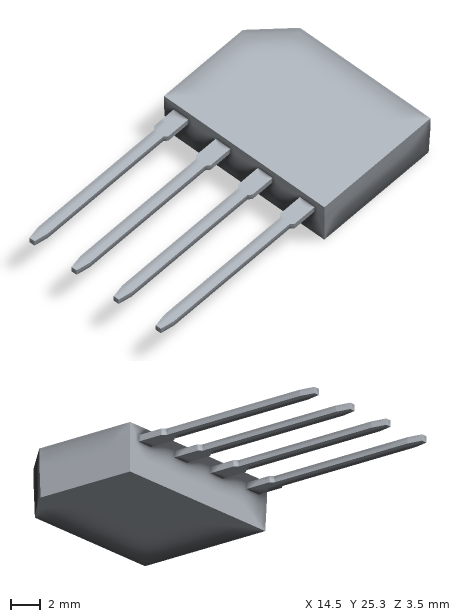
import cadquery as cq


TOTAL_LENGTH = 25.33
HOUSING_WIDTH = 14.5
HOUSING_LENGTH = 10.54
HOUSING_HEIGHT = 3.5

CORNER_CUT = 2.7
RIM_HEIGHT = 0.9
DRAFT_ANGLE = 2.0
RIM_BOTTOM = HOUSING_HEIGHT - RIM_HEIGHT

LEAD_COUNT = 4
LEAD_PITCH = 3.8
LEAD_THICKNESS = 0.45
LEAD_MID_HEIGHT = RIM_BOTTOM
LEAD_LENGTH = TOTAL_LENGTH - HOUSING_LENGTH
LEAD_EMBEDDED = 1.01
SHOULDER_WIDTH = 1.32
SHOULDER_LENGTH = 1.98
SHOULDER_TAPER = 0.25
SHANK_WIDTH = 0.85
TIP_WIDTH = 0.45
TIP_LENGTH = 1.1

MARK_WIDTH = SHOULDER_WIDTH
MARK_STROKE = 0.25
MARK_DEPTH = 0.1
MARK_FROM_FACE = 1.47
WAVE_HEIGHT = 0.1

LEAD_POSITIONS = [(i - (LEAD_COUNT - 1) / 2) * LEAD_PITCH for i in range(LEAD_COUNT)]


def make_housing_blank():
    """Bevelled block: upright rim on top of a part that tapers downward."""
    half_width = HOUSING_WIDTH / 2
    outline = [
        (-half_width, 0),
        (half_width, 0),
        (half_width, HOUSING_LENGTH),
        (-half_width + CORNER_CUT, HOUSING_LENGTH),
        (-half_width, HOUSING_LENGTH - CORNER_CUT),
    ]
    parting_plane = cq.Workplane("XY").workplane(offset=RIM_BOTTOM)
    rim = parting_plane.polyline(outline).close().extrude(RIM_HEIGHT)
    base = parting_plane.polyline(outline).close().extrude(-RIM_BOTTOM, taper=DRAFT_ANGLE)
    return rim.union(base)


def make_lead(x):
    """Flat lead with a wide shoulder, a narrow shank and a tapered tip."""
    shank_start = -SHOULDER_LENGTH - SHOULDER_TAPER
    right_side = [
        (SHOULDER_WIDTH / 2, LEAD_EMBEDDED),
        (SHOULDER_WIDTH / 2, -SHOULDER_LENGTH),
        (SHANK_WIDTH / 2, shank_start),
        (SHANK_WIDTH / 2, -LEAD_LENGTH + TIP_LENGTH),
        (TIP_WIDTH / 2, -LEAD_LENGTH),
    ]
    left_side = [(-half, y) for half, y in reversed(right_side)]
    flat = cq.Workplane("XY").polyline(right_side + left_side).close()
    lead = flat.extrude(LEAD_THICKNESS / 2, both=True)
    return lead.translate((x, 0, LEAD_MID_HEIGHT))


def mark_plane(x):
    """Plane at the floor of a mark, centred on the mark in line with a lead."""
    return cq.Workplane("XY", origin=(x, MARK_FROM_FACE, HOUSING_HEIGHT - MARK_DEPTH))


def make_minus(x):
    return mark_plane(x).rect(MARK_WIDTH, MARK_STROKE).extrude(MARK_DEPTH)


def make_plus(x):
    upright = mark_plane(x).rect(MARK_STROKE, MARK_WIDTH).extrude(MARK_DEPTH)
    return make_minus(x).union(upright)


def make_tilde(x):
    """Band of even height whose upper and lower edges rise, then fall."""
    end = MARK_WIDTH / 2
    crest = MARK_WIDTH / 4
    edge = MARK_STROKE / 2
    return (
        mark_plane(x)
        .moveTo(-end, edge)
        .threePointArc((-crest, edge + WAVE_HEIGHT), (0, edge))
        .threePointArc((crest, edge - WAVE_HEIGHT), (end, edge))
        .lineTo(end, -edge)
        .threePointArc((crest, -edge - WAVE_HEIGHT), (0, -edge))
        .threePointArc((-crest, -edge + WAVE_HEIGHT), (-end, -edge))
        .close()
        .extrude(MARK_DEPTH)
    )


leads = [make_lead(x) for x in LEAD_POSITIONS]

plus_x, *tilde_positions, minus_x = LEAD_POSITIONS
plus_mark = make_plus(plus_x)
tilde_marks = [make_tilde(x) for x in tilde_positions]
minus_mark = make_minus(minus_x)

inserts = [*leads, plus_mark, *tilde_marks, minus_mark]
housing = make_housing_blank()
for insert in inserts:
    housing = housing.cut(insert)

bodies = [housing, *inserts]
result = cq.Compound.makeCompound([body.solids().val() for body in bodies])